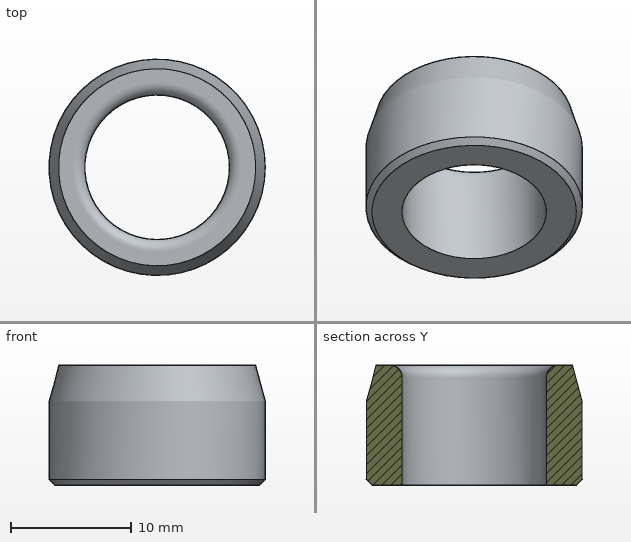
import cadquery as cq
import math

outer_radius = 18.0 / 2
bore_radius = 12.0 / 2
height = 10.0
taper_height = 3.0
taper_angle = 15.0
bottom_chamfer = 0.5
bore_entry_radius = 1.0

taper_start = height - taper_height
top_radius = outer_radius - taper_height * math.tan(math.radians(taper_angle))


def make_body():
    """Revolve the outer profile: cylinder with a tapered upper end."""
    return (
        cq.Workplane("XZ")
        .moveTo(0, 0)
        .lineTo(outer_radius - bottom_chamfer, 0)
        .lineTo(outer_radius, bottom_chamfer)
        .lineTo(outer_radius, taper_start)
        .lineTo(top_radius, height)
        .lineTo(0, height)
        .close()
        .revolve(360, (0, 0, 0), (0, 1, 0))
    )


def cut_bore(body):
    """Cut the through bore and round its upper entry edge."""
    bored = body.cut(cq.Workplane("XY").circle(bore_radius).extrude(height))
    entry_edge = cq.selectors.RadiusNthSelector(0)
    return bored.faces(">Z").edges(entry_edge).fillet(bore_entry_radius)


result = cut_bore(make_body())